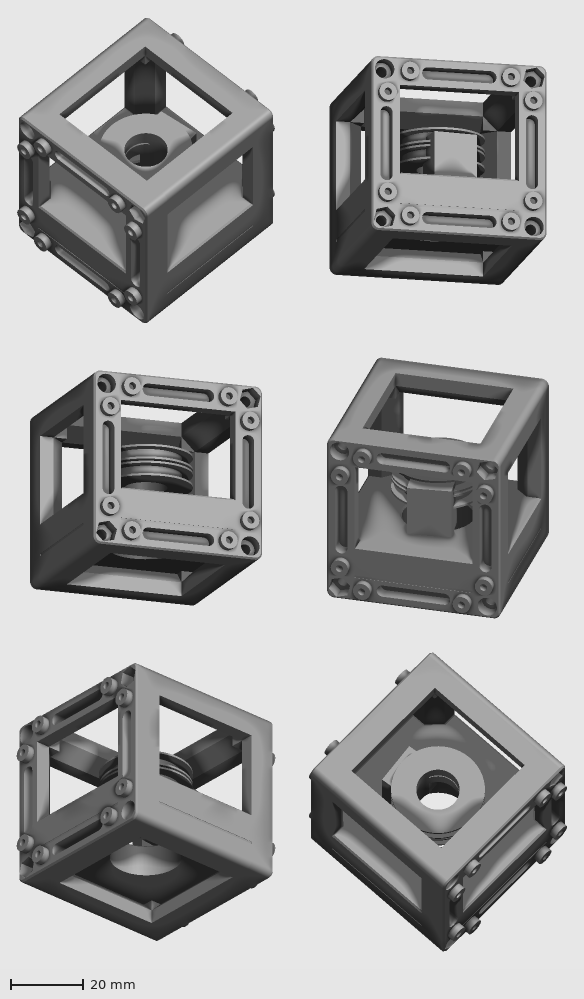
import cadquery as cq
import math

frame_size = 49.8
frame_depth = 50.45
overall_depth = 54.5
bar_width = 7.95
edge_radius = 2.0
face_chamfer = 0.5
half_size = frame_size / 2
half_depth = frame_depth / 2
window_half = half_size - bar_width
bar_chamfer = bar_width / 2
chamfer_reach = 2 * window_half + bar_chamfer

bolt_offset = 21.25
bolt_hole_diameter = 3.1
bolt_head_diameter = 5.5
nut_across_flats = 5.5
nut_angle = 15
bolt_recess_depth = 4.0
stud_near = 14.35
stud_far = 20.7
stud_diameter = 4.95
stud_height = (overall_depth - frame_depth) / 2
stud_bore_diameter = 2.05
slot_width = 3.5
slot_length = 21.15
slot_depth = 4.0

insert_bottom = -window_half
insert_top = -8.05
insert_chamfer = 0.5
insert_bore_diameter = 20.0
foot_thickness = 0.7
foot_inset = 0.1
foot_bottom = insert_bottom - foot_thickness

flange_diameter = 26.0
flange_thickness = 0.6
hub_diameter = 20.0
hub_height = 3.0
spool_gap = 0.6
spool_height = hub_height + 2 * flange_thickness
spool_bore_diameter = 12.0
holder_width = 12.55
holder_front = 5.3
holder_back = 14.65
holder_bottom = -7.35
holder_top = 7.1
holder_angle = 6


def block(x_range, y_range, z_range):
    """Axis-aligned box between the given limits."""
    (x0, x1), (y0, y1), (z0, z1) = x_range, y_range, z_range
    return cq.Workplane("XY").box(x1 - x0, y1 - y0, z1 - z0, centered=False).translate((x0, y0, z0))


def cylinder(diameter, bottom, top):
    """Upright cylinder on the Z axis."""
    return cq.Workplane("XY").workplane(offset=bottom).circle(diameter / 2).extrude(top - bottom)


def frame_cavity():
    """Windows along the three axes, widened to the chamfers of the bars between the corner blocks."""
    opening = (-window_half, window_half)
    side_opening = (foot_bottom, window_half)
    through = (-frame_depth, frame_depth)
    cavity = block(opening, opening, through)
    cavity = cavity.union(block(through, opening, side_opening))
    cavity = cavity.union(block(opening, through, side_opening))
    tips = [(chamfer_reach, 0), (0, chamfer_reach), (-chamfer_reach, 0), (0, -chamfer_reach)]
    for plane in ("XY", "YZ", "XZ"):
        cavity = cavity.union(cq.Workplane(plane).polyline(tips).close().extrude(window_half, both=True))
    return cavity


def face_plane():
    """Plane on the -Y face of the frame, with its normal pointing outward."""
    return cq.Workplane("XZ", origin=(0, -half_depth, 0))


def face_recesses():
    """Bolt holes, bolt head and nut recesses, and the four slots."""
    diagonal = [(-bolt_offset, bolt_offset), (bolt_offset, -bolt_offset)]
    other_diagonal = [(bolt_offset, bolt_offset), (-bolt_offset, -bolt_offset)]
    nut_diameter = nut_across_flats / math.cos(math.pi / 6)
    cuts = face_plane().pushPoints(diagonal + other_diagonal).circle(bolt_hole_diameter / 2)
    cuts = cuts.extrude(-frame_depth)
    heads = face_plane().pushPoints(diagonal).circle(bolt_head_diameter / 2).extrude(-bolt_recess_depth)
    cuts = cuts.union(heads)
    for x, z in other_diagonal:
        nut = face_plane().center(x, z).transformed(rotate=(0, 0, nut_angle))
        cuts = cuts.union(nut.polygon(6, nut_diameter).extrude(-bolt_recess_depth))
    for side in (-stud_far, stud_far):
        level_slot = face_plane().center(0, side).slot2D(slot_length, slot_width)
        upright_slot = face_plane().center(side, 0).slot2D(slot_length, slot_width, 90)
        cuts = cuts.union(level_slot.extrude(-slot_depth)).union(upright_slot.extrude(-slot_depth))
    return cuts


def studs():
    """Eight hollow studs, two at each corner of the -Y face."""
    places = []
    for x_sign in (-1, 1):
        for z_sign in (-1, 1):
            places.append((x_sign * stud_near, z_sign * stud_far))
            places.append((x_sign * stud_far, z_sign * stud_near))
    rings = face_plane().pushPoints(places).circle(stud_diameter / 2).extrude(stud_height)
    bores = face_plane().pushPoints(places).circle(stud_bore_diameter / 2).extrude(stud_height)
    return rings.cut(bores)


def make_frame_half():
    """The -Y face frame with two diagonally opposite bars that reach the other half."""
    cube = cq.Workplane("XY").box(frame_size, frame_depth, frame_size)
    cube = cube.edges("|Y").fillet(edge_radius).faces("<Y or >Y").chamfer(face_chamfer)
    inner = (-window_half, window_half)
    left = (-half_size, -window_half)
    right = (window_half, half_size)
    region = block((-half_size, half_size), (-half_depth, -window_half), (-half_size, half_size))
    region = region.union(block(left, inner, right)).union(block(right, inner, left))
    return cube.intersect(region).cut(frame_cavity()).cut(face_recesses()).union(studs())


def make_insert():
    """Plate whose corners are cut to fit the chamfered upright bars."""
    chamfer_end = window_half + bar_chamfer
    quadrant = [
        (half_size, window_half),
        (chamfer_end, window_half),
        (window_half, chamfer_end),
        (window_half, half_depth),
    ]
    outline = []
    for x_sign, y_sign in ((1, 1), (-1, 1), (-1, -1), (1, -1)):
        corner = [(x_sign * x, y_sign * y) for x, y in quadrant]
        outline += corner if x_sign == y_sign else reversed(corner)
    plate = cq.Workplane("XY", origin=(0, 0, insert_bottom)).polyline(outline).close()
    plate = plate.extrude(insert_top - insert_bottom)
    plate = plate.cut(cylinder(insert_bore_diameter, insert_bottom, insert_top))
    plate = plate.faces(">Z").chamfer(insert_chamfer)
    x_arm = (foot_inset - half_size, half_size - foot_inset)
    y_arm = (foot_inset - half_depth, half_depth - foot_inset)
    width = (-window_half, window_half)
    layer = (foot_bottom, insert_bottom)
    foot = block(x_arm, width, layer).union(block(width, y_arm, layer))
    return plate.union(foot.cut(cylinder(insert_bore_diameter, *layer)))


def spool(bottom):
    """One spool: a hub between two flanges."""
    top = bottom + spool_height
    body = cylinder(hub_diameter, bottom, top)
    body = body.union(cylinder(flange_diameter, bottom, bottom + flange_thickness))
    return body.union(cylinder(flange_diameter, top - flange_thickness, top))


def make_spool_unit():
    """Two spools joined by the turned holder block, with one bore through all."""
    half_width = holder_width / 2
    holder = block((-half_width, half_width), (holder_front, holder_back), (holder_bottom, holder_top))
    holder = holder.rotate((0, 0, 0), (0, 0, 1), holder_angle)
    upper_bottom = spool_height + spool_gap
    unit = holder.union(spool(0)).union(spool(upper_bottom))
    return unit.cut(cylinder(spool_bore_diameter, holder_bottom, upper_bottom + spool_height))


front_half = make_frame_half()
back_half = make_frame_half().rotate((0, 0, 0), (0, 0, 1), 180)
insert = make_insert()
spool_unit = make_spool_unit()

result = cq.Compound.makeCompound(
    [front_half.val(), back_half.val(), insert.val(), spool_unit.val()]
)